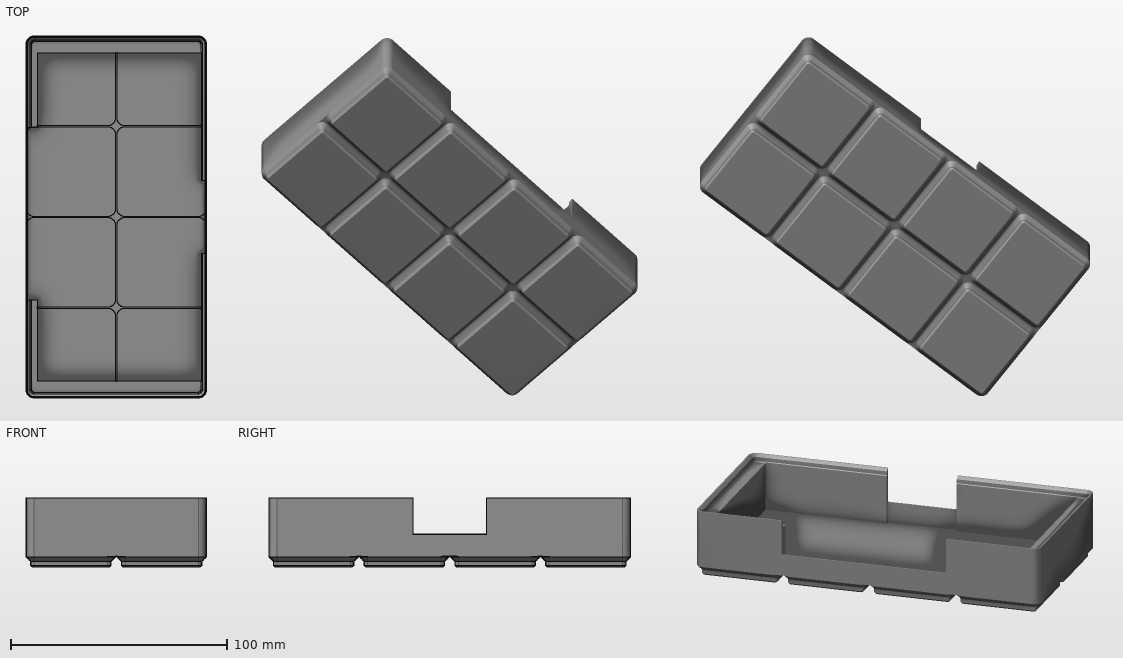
import cadquery as cq

GRID_PITCH = 42.0
CELL_GAP = 0.5
CELLS_X = 2
CELLS_Y = 4
CELL_SIZE = GRID_PITCH - CELL_GAP
BODY_X = CELLS_X * GRID_PITCH - CELL_GAP
BODY_Y = CELLS_Y * GRID_PITCH - CELL_GAP
TOTAL_HEIGHT = 32.0
CORNER_RADIUS = 3.75
FLARE_ANGLE = 45.0

FOOT_LOWER_CHAMFER = 0.8
FOOT_STRAIGHT = 1.8
FOOT_UPPER_CHAMFER = 2.15
FOOT_RIM = 0.25
FOOT_BAND_TOP_Z = FOOT_LOWER_CHAMFER + FOOT_STRAIGHT
FOOT_RIM_Z = FOOT_BAND_TOP_Z + FOOT_UPPER_CHAMFER
FOOT_HEIGHT = FOOT_RIM_Z + FOOT_RIM

LIP_RIM_WIDTH = 0.6
LIP_UPPER_CHAMFER = 1.3
LIP_STRAIGHT = 1.8
LIP_LOWER_CHAMFER = 0.7
LIP_STRAIGHT_INSET = LIP_RIM_WIDTH + LIP_UPPER_CHAMFER
LIP_BASE_INSET = LIP_STRAIGHT_INSET + LIP_LOWER_CHAMFER
LIP_DEPTH = LIP_UPPER_CHAMFER + LIP_STRAIGHT + LIP_LOWER_CHAMFER
SHELF_Z = TOTAL_HEIGHT - LIP_DEPTH

FLOOR_Z = 5.2
POCKET_X = 76.0
POCKET_Y = 152.0
POCKET_CENTER_X = 1.5

SILL_HEIGHT = 10.0
SILL_Z = FLOOR_Z + SILL_HEIGHT
SILL_THICKNESS = LIP_RIM_WIDTH
LEFT_NOTCH_WIDTH = 80.0
LEFT_NOTCH_CENTER_Y = 1.5
RIGHT_NOTCH_WIDTH = 34.0
RIGHT_NOTCH_CENTER_Y = 0.0


def rounded_block(size_x, size_y, radius, bottom_z, height):
    """Block centred on the Z axis with rounded vertical edges."""
    block = cq.Workplane("XY").workplane(offset=bottom_z).rect(size_x, size_y).extrude(height)
    return block.edges("|Z").fillet(radius)


def plain_block(min_x, max_x, center_y, size_y, bottom_z, top_z):
    """Sharp-edged block given by its X and Z limits and its Y centre and width."""
    block = cq.Workplane("XY").box(max_x - min_x, size_y, top_z - bottom_z, centered=(False, True, False))
    return block.translate((min_x, center_y, bottom_z))


def tapered_block(bottom_size, bottom_radius, bottom_z, height):
    """Rounded block whose sides flare outward at 45 degrees from its bottom outline."""
    start = rounded_block(*bottom_size, bottom_radius, bottom_z, height)
    outline = start.faces("<Z").wires().toPending()
    return outline.workplane(invert=True).extrude(height, taper=-FLARE_ANGLE, combine=False)


def make_foot():
    """One grid foot: small flare, straight band, flare to the full cell size, short straight rim."""
    band_size = CELL_SIZE - 2 * FOOT_UPPER_CHAMFER
    band_radius = CORNER_RADIUS - FOOT_UPPER_CHAMFER
    band = rounded_block(band_size, band_size, band_radius, 0, FOOT_BAND_TOP_Z)
    band = band.faces("<Z").chamfer(FOOT_LOWER_CHAMFER)
    flare = tapered_block((band_size, band_size), band_radius, FOOT_BAND_TOP_Z, FOOT_UPPER_CHAMFER)
    rim = rounded_block(CELL_SIZE, CELL_SIZE, CORNER_RADIUS, FOOT_RIM_Z, FOOT_RIM)
    return band.union(flare).union(rim)


def make_body():
    """Solid outer block standing on one foot per grid cell."""
    body = rounded_block(BODY_X, BODY_Y, CORNER_RADIUS, FOOT_HEIGHT, TOTAL_HEIGHT - FOOT_HEIGHT)
    foot = make_foot()
    for column in range(CELLS_X):
        for row in range(CELLS_Y):
            x = (column - (CELLS_X - 1) / 2) * GRID_PITCH
            y = (row - (CELLS_Y - 1) / 2) * GRID_PITCH
            body = body.union(foot.translate((x, y, 0)))
    return body


def inset_size(inset):
    """Body outline size moved inward by the given inset."""
    return BODY_X - 2 * inset, BODY_Y - 2 * inset


def make_lip_cavity():
    """Space inside the stacking lip: flare, straight band, flare up to the rim."""
    lower = tapered_block(
        inset_size(LIP_BASE_INSET), CORNER_RADIUS - LIP_BASE_INSET, SHELF_Z, LIP_LOWER_CHAMFER
    )
    band_radius = CORNER_RADIUS - LIP_STRAIGHT_INSET
    band_z = SHELF_Z + LIP_LOWER_CHAMFER
    band = rounded_block(*inset_size(LIP_STRAIGHT_INSET), band_radius, band_z, LIP_STRAIGHT)
    upper = tapered_block(
        inset_size(LIP_STRAIGHT_INSET), band_radius, band_z + LIP_STRAIGHT, LIP_UPPER_CHAMFER
    )
    return lower.union(band).union(upper)


def make_pocket():
    """Sharp-cornered main pocket down to the floor."""
    min_x = POCKET_CENTER_X - POCKET_X / 2
    return plain_block(min_x, min_x + POCKET_X, 0, POCKET_Y, FLOOR_Z, TOTAL_HEIGHT)


def make_notch(side, center_y, width):
    """Notch in the -X (side -1) or +X (side 1) wall that keeps a thin sill along the outside."""
    outer_x = side * BODY_X / 2
    sill_x = outer_x - side * SILL_THICKNESS
    behind_sill = plain_block(min(0, sill_x), max(0, sill_x), center_y, width, FLOOR_Z, TOTAL_HEIGHT)
    above_sill = plain_block(min(0, outer_x), max(0, outer_x), center_y, width, SILL_Z, TOTAL_HEIGHT)
    return behind_sill.union(above_sill)


result = (
    make_body()
    .cut(make_lip_cavity())
    .cut(make_pocket())
    .cut(make_notch(-1, LEFT_NOTCH_CENTER_Y, LEFT_NOTCH_WIDTH))
    .cut(make_notch(1, RIGHT_NOTCH_CENTER_Y, RIGHT_NOTCH_WIDTH))
)